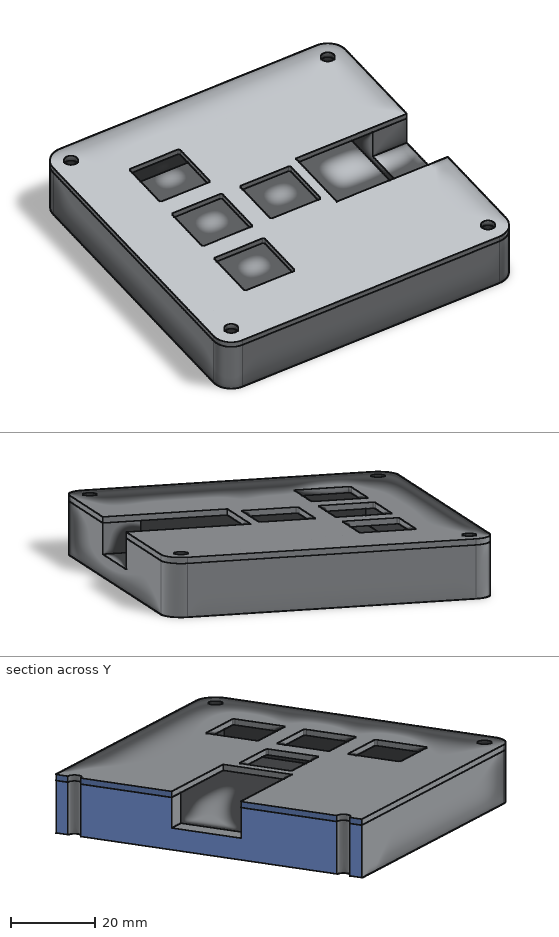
import cadquery as cq

LENGTH = 82.1
WIDTH = 81.6
HEIGHT = 14.5
CORNER_RADIUS = 5.0
LID_THICKNESS = 1.5
CASE_HEIGHT = HEIGHT - LID_THICKNESS

SCREW_HOLE_DIAMETER = 3.4
SCREW_SPACING_X = LENGTH - 2 * CORNER_RADIUS
SCREW_SPACING_Y = WIDTH - 2 * CORNER_RADIUS

CAVITY_LENGTH = 62.6
CAVITY_WIDTH = 62.6
CAVITY_FLOOR = 3.0
BOARD_CLEARANCE = 0.6
BOARD_THICKNESS = 1.5

SLOT_WIDTH = 18.5
SLOT_CENTRE_X = 0.65
SLOT_FLOOR = 5.5
SLOT_END_Y = 9.85

KEY_SIZE = 14.0
KEY_CORNER_RADIUS = 0.5
KEY_PITCH = 19.0
KEY_ROW_Y = -18.8
KEY_CENTRES = [(column * KEY_PITCH, KEY_ROW_Y) for column in (-1, 0, 1)]
KEY_CENTRES.append((0, KEY_ROW_Y + KEY_PITCH))


def rounded_plate(bottom, thickness):
    """Plate with the outer outline and its four screw holes."""
    plate = (
        cq.Workplane("XY", origin=(0, 0, bottom))
        .rect(LENGTH, WIDTH)
        .extrude(thickness)
        .edges("|Z")
        .fillet(CORNER_RADIUS)
    )
    return (
        plate.faces(">Z")
        .workplane()
        .rect(SCREW_SPACING_X, SCREW_SPACING_Y, forConstruction=True)
        .vertices()
        .hole(SCREW_HOLE_DIAMETER)
    )


def slot_cutter(bottom, start_y):
    """Block that clears the slot from start_y out through the +Y side, above bottom."""
    depth = WIDTH / 2 - start_y
    return (
        cq.Workplane("XY", origin=(SLOT_CENTRE_X, start_y + depth / 2, bottom))
        .rect(SLOT_WIDTH, depth)
        .extrude(HEIGHT - bottom)
    )


def make_case():
    """Open-topped case with the board cavity and the slot in its +Y wall."""
    cavity = (
        cq.Workplane("XY", origin=(0, 0, CAVITY_FLOOR))
        .rect(CAVITY_LENGTH, CAVITY_WIDTH)
        .extrude(CASE_HEIGHT - CAVITY_FLOOR)
    )
    return rounded_plate(0, CASE_HEIGHT).cut(cavity).cut(slot_cutter(SLOT_FLOOR, SLOT_END_Y))


def make_lid():
    """Flat lid with the slot and the key openings."""
    keys = (
        cq.Workplane("XY", origin=(0, 0, CASE_HEIGHT))
        .pushPoints(KEY_CENTRES)
        .rect(KEY_SIZE, KEY_SIZE)
        .extrude(LID_THICKNESS)
        .edges("|Z")
        .fillet(KEY_CORNER_RADIUS)
    )
    return rounded_plate(CASE_HEIGHT, LID_THICKNESS).cut(slot_cutter(CASE_HEIGHT, SLOT_END_Y)).cut(keys)


def make_board():
    """Circuit board lying on the cavity floor, clear of the cavity walls."""
    return (
        cq.Workplane("XY", origin=(0, 0, CAVITY_FLOOR))
        .rect(CAVITY_LENGTH - 2 * BOARD_CLEARANCE, CAVITY_WIDTH - 2 * BOARD_CLEARANCE)
        .extrude(BOARD_THICKNESS)
    )


case = make_case()
lid = make_lid()
board = make_board()

result = cq.Compound.makeCompound([case.val(), lid.val(), board.val()])